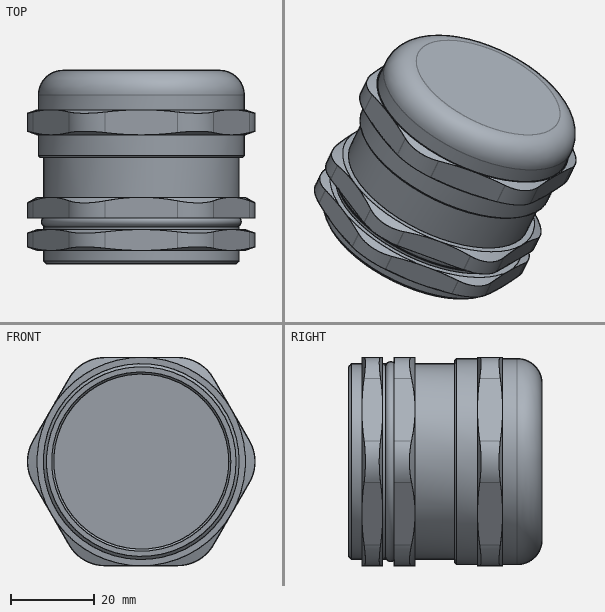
import cadquery as cq
import math


LOCKNUT_START = 3.25
LOCKNUT_WIDTH = 5.0
GROOVE_START = 8.9
BODY_HEX_START = 11.0
SEAL_RECESS_DEPTH = 0.3
BODY_HEX_WIDTH = 5.0
CAP_START = 25.5
CAP_HEX_START = 31.0
CAP_HEX_WIDTH = 6.0
TOTAL_LENGTH = 46.5

BODY_DIAMETER = 47.0
BODY_END_CHAMFER = 0.75
GROOVE_DIAMETER = 46.0
SEAL_DIAMETER = 48.0
SEAL_RECESS_DIAMETER = 49.0
SEAL_SECTION_DIAMETER = 2.5
CAP_DIAMETER = 49.5
CAP_CHAMFER = 0.5
DOME_RADIUS = 6.0
BORE_DIAMETER = 42.0
BORE_DEPTH = 9.0
BORE_CHAMFER = 0.5

HEX_SIDES = 6
ACROSS_FLATS = 50.0
HEX_CORNER_RADIUS = 10.0
NUT_BEVEL_ANGLE = 20.0
BODY_HEX_BEVEL_ANGLE = 30.0


def cylinder(diameter, start, length):
    """Solid cylinder around Y that runs from start towards +Y."""
    plane = cq.Workplane("XZ", origin=(0, start, 0))
    return plane.circle(diameter / 2).extrude(-length)


def hexagon(start, width, front_angle, back_angle):
    """Round-cornered hexagon with conical bevels; an angle of 0 leaves that face flat."""
    across_corners = ACROSS_FLATS / math.cos(math.pi / HEX_SIDES)
    prism = (
        cq.Workplane("XZ", origin=(0, start, 0))
        .polygon(HEX_SIDES, across_corners)
        .extrude(-width)
        .edges("|Y")
        .fillet(HEX_CORNER_RADIUS)
    )
    inner = ACROSS_FLATS / 2
    outer = across_corners / 2
    front_drop = (outer - inner) * math.tan(math.radians(front_angle))
    back_drop = (outer - inner) * math.tan(math.radians(back_angle))
    end = start + width
    profile = cq.Workplane("XY").moveTo(0, start)
    if front_angle:
        profile = profile.lineTo(inner, start)
    profile = profile.lineTo(outer, start + front_drop).lineTo(outer, end - back_drop)
    if back_angle:
        profile = profile.lineTo(inner, end)
    envelope = profile.lineTo(0, end).close().revolve(360, (0, 0, 0), (0, 1, 0))
    return prism.intersect(envelope)


def barrel():
    """Main barrel from the chamfered end face up into the cap, necked for the seal ring."""
    thread = cylinder(BODY_DIAMETER, 0, GROOVE_START)
    thread = thread.faces("<Y").edges().chamfer(BODY_END_CHAMFER)
    neck = cylinder(GROOVE_DIAMETER, GROOVE_START, BODY_HEX_START - GROOVE_START)
    middle = cylinder(BODY_DIAMETER, BODY_HEX_START, CAP_HEX_START - BODY_HEX_START)
    return thread.union(neck).union(middle)


def seal_recess():
    """Shallow recess around the neck in the front face of the body hexagon, as a cutting tool."""
    recess = cylinder(SEAL_RECESS_DIAMETER, BODY_HEX_START, SEAL_RECESS_DEPTH)
    return recess.cut(cylinder(GROOVE_DIAMETER, BODY_HEX_START, SEAL_RECESS_DEPTH))


def seal_ring():
    """O-ring that touches the groove wall and sits in the recess of the body hexagon."""
    section_radius = SEAL_SECTION_DIAMETER / 2
    ring_radius = SEAL_DIAMETER / 2 - section_radius
    section_center = GROOVE_START + section_radius
    return (
        cq.Workplane(cq.Plane((ring_radius, section_center, 0), (-1, 0, 0), (0, 0, 1)))
        .circle(section_radius)
        .revolve(360, (ring_radius, 0, 0), (ring_radius, 1, 0))
    )


def cap():
    """Domed cap with a chamfered front edge."""
    shell = cylinder(CAP_DIAMETER, CAP_START, TOTAL_LENGTH - CAP_START)
    shell = shell.faces(">Y").edges().fillet(DOME_RADIUS)
    return shell.faces("<Y").edges().chamfer(CAP_CHAMFER)


def bore():
    """Blind bore with a chamfered mouth, as a cutting tool."""
    radius = BORE_DIAMETER / 2
    return (
        cq.Workplane("XY")
        .lineTo(radius + BORE_CHAMFER, 0)
        .lineTo(radius, BORE_CHAMFER)
        .lineTo(radius, BORE_DEPTH)
        .lineTo(0, BORE_DEPTH)
        .close()
        .revolve(360, (0, 0, 0), (0, 1, 0))
    )


locknut = hexagon(LOCKNUT_START, LOCKNUT_WIDTH, NUT_BEVEL_ANGLE, NUT_BEVEL_ANGLE)
body_hex = hexagon(BODY_HEX_START, BODY_HEX_WIDTH, 0, BODY_HEX_BEVEL_ANGLE)
cap_hex = hexagon(CAP_HEX_START, CAP_HEX_WIDTH, NUT_BEVEL_ANGLE, NUT_BEVEL_ANGLE)

result = barrel()
for section in (cap(), locknut, body_hex, cap_hex):
    result = result.union(section)
result = result.cut(seal_recess()).union(seal_ring()).cut(bore())